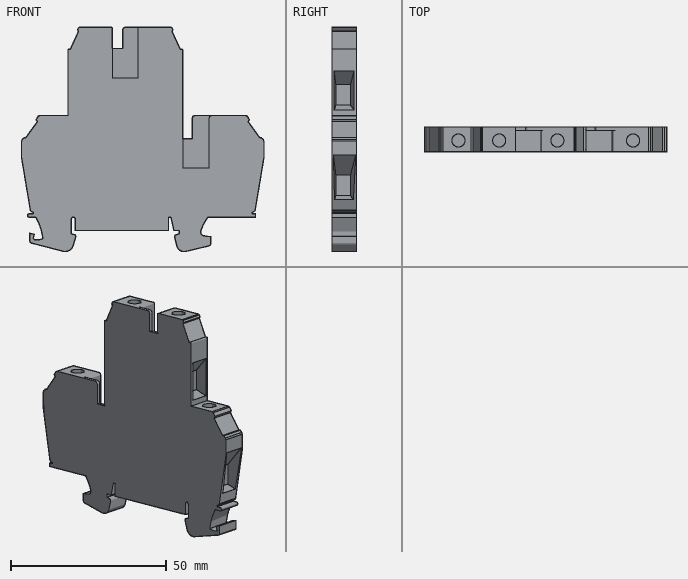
import cadquery as cq


LENGTH = 78.0
THICKNESS = 8.0
HEIGHT = 72.2

TIER_END = LENGTH / 2
TIER_TOP = 43.8
TIER_FLOOR = 11.1
LIP_TOP = 12.25
LEFT_LIP_END = -37.05
RIGHT_LIP_END = 36.3
LIP_GROOVE_X = 35.25
LIP_TIP_RADIUS = 0.55
END_TAPER_FOOT = 36.2

TOWER_CENTER = -5.6
TOWER_HALF = 18.5
TOWER_RIGHT = TOWER_CENTER + TOWER_HALF
TOWER_SHOULDER = 65.1
TOWER_SHOULDER_RADIUS = 0.3

PAD_BOTTOM = 6.8
PAD_RIGHT = 8.35
LEFT_FOOT_INNER = -22.9
LEFT_SLOT_WIDTH = 1.2
LEFT_SLOT_ROUND = 0.55
FOOT_OVERLAP = 0.8
FOOT_ROOT = TIER_FLOOR + FOOT_OVERLAP

BACK_WALL = 1.2
POCKET_DEPTH = THICKNESS - BACK_WALL
POCKET_MID = POCKET_DEPTH / 2
WALL_MID = THICKNESS - BACK_WALL / 2
TOWER_POCKET_LEFT = -9.75
TOWER_POCKET_RIGHT = -1.55
TOWER_POCKET_FLOOR = 55.9
TOWER_GAP_RIGHT = -6.5
TOWER_GAP_FLOOR = 65.4
TIER_POCKET_RIGHT = 21.4
TIER_POCKET_FLOOR = 27.0
TIER_GAP_RIGHT = 15.9
TIER_GAP_FLOOR = 36.35
LARGE_ROUND = 0.9
SMALL_ROUND = 0.5

SCREW_DIAMETER = 4.2
SCREW_DEPTH = 1.9
SCREW_Y = 3.7
TOWER_SCREW_OFFSET = 9.35
TIER_SCREW_X = 28.1

FUNNEL_DEPTH = 3.5
FUNNEL_FLOOR_Y = (1.3, 6.0)
FUNNEL_MOUTH_Y = (0.8, 7.2)
FUNNEL_FLOOR_HEIGHT = 6.6
FUNNEL_DROP = 1.5
FUNNEL_RISE = 4.45
TOWER_FUNNEL_Z = 47.1
TIER_FUNNEL_Z = 18.0
TIER_FUNNEL_FLOOR_X = 33.9
FUNNEL_REACH = 1.5


def plate(sketch):
    """Extrude a closed XZ outline through the full thickness."""
    return sketch.close().extrude(-THICKNESS)


def block(x0, x1, z0, z1, depth=THICKNESS):
    """Box from the front face to the given depth."""
    return cq.Workplane("XY").box(x1 - x0, depth, z1 - z0, centered=False).translate((x0, 0, z0))


def round_edge(body, x, y, z, radius):
    """Round the edge along Y whose midpoint is given."""
    return body.edges("|Y").edges(cq.selectors.NearestToPointSelector((x, y, z))).fillet(radius)


def symmetric_plate(half, center):
    """Plate whose right half is a bottom-to-top list of (offset, z) points."""
    right = [(center + x, z) for x, z in half]
    left = [(center - x, z) for x, z in reversed(half)]
    return plate(cq.Workplane("XZ").polyline(right + left))


def lower_tier():
    """Wide base with tapered ends, notched shoulders and a thin lip at each bottom corner."""
    tier = symmetric_plate([
        (LIP_GROOVE_X, TIER_FLOOR),
        (LIP_GROOVE_X, 12.6),
        (35.95, 13.0),
        (END_TAPER_FOOT, 13.4),
        (TIER_END, 30.2),
        (TIER_END, 35.6),
        (38.8, 36.1),
        (38.15, 36.7),
        (37.6, 36.7),
        (33.9, 41.8),
        (34.3, 42.5),
        (33.6, 43.6),
        (33.1, TIER_TOP),
    ], 0)
    left_lip = block(LEFT_LIP_END, 0, TIER_FLOOR, LIP_TOP).edges("|Y and <X").fillet(LIP_TIP_RADIUS)
    right_lip = block(0, RIGHT_LIP_END, TIER_FLOOR, LIP_TOP)
    return tier.union(left_lip).union(right_lip)


def tower():
    """Upper column with sloping, notched shoulders."""
    column = symmetric_plate([
        (TOWER_HALF, TIER_FLOOR),
        (TOWER_HALF, TOWER_SHOULDER),
        (17.7, TOWER_SHOULDER),
        (15.05, 70.9),
        (15.4, 71.4),
        (15.05, 72.0),
        (14.75, HEIGHT),
    ], TOWER_CENTER)
    for side in (-1, 1):
        shoulder_x = TOWER_CENTER + side * TOWER_HALF
        column = round_edge(column, shoulder_x, THICKNESS / 2, TOWER_SHOULDER, TOWER_SHOULDER_RADIUS)
    return column


def rail_pad():
    """Pad reaching the left foot, and the round-ended slot that separates them."""
    pad = block(LEFT_FOOT_INNER, PAD_RIGHT, PAD_BOTTOM, FOOT_ROOT)
    slot = block(LEFT_FOOT_INNER, LEFT_FOOT_INNER + LEFT_SLOT_WIDTH, PAD_BOTTOM, TIER_FLOOR)
    slot = slot.edges("|Y and >Z").fillet(LEFT_SLOT_ROUND)
    return pad, slot


def left_foot():
    """Springy foot with an upturned release hook."""
    return plate(
        cq.Workplane("XZ")
        .moveTo(LEFT_FOOT_INNER, FOOT_ROOT)
        .lineTo(-34.4, FOOT_ROOT)
        .lineTo(-34.4, TIER_FLOOR)
        .lineTo(-33.2, 8.65)
        .threePointArc((-32.6, 6.6), (-32.1, 4.2))
        .lineTo(-33.3, 3.9)
        .lineTo(-34.8, 3.9)
        .lineTo(-35.2, 4.4)
        .lineTo(-34.9, 5.6)
        .lineTo(-36.35, 6.0)
        .lineTo(-36.35, 3.6)
        .threePointArc((-36.2, 3.05), (-35.7, 2.7))
        .lineTo(-26.05, 0.2)
        .threePointArc((-23.6, 0.4), (-22.5, 1.6))
        .lineTo(-21.5, 4.7)
        .threePointArc((-21.6, 5.2), (-22.0, 5.5))
        .lineTo(LEFT_FOOT_INNER, 5.8)
    )


def right_foot():
    """Rigid foot with a blunt toe."""
    return plate(
        cq.Workplane("XZ")
        .moveTo(9.05, FOOT_ROOT)
        .lineTo(9.05, TIER_FLOOR)
        .lineTo(9.9, 7.2)
        .threePointArc((10.1, 6.9), (10.4, PAD_BOTTOM))
        .lineTo(11.7, PAD_BOTTOM)
        .lineTo(11.7, 5.8)
        .lineTo(10.6, 5.45)
        .threePointArc((10.3, 5.15), (10.2, 4.75))
        .lineTo(11.0, 1.6)
        .threePointArc((12.0, 0.4), (13.9, 0.1))
        .lineTo(21.05, 1.8)
        .threePointArc((21.7, 2.1), (21.9, 2.65))
        .lineTo(21.9, 4.9)
        .lineTo(20.6, 5.0)
        .lineTo(19.4, 5.2)
        .threePointArc((18.8, 5.8), (18.7, 6.7))
        .lineTo(19.5, 8.7)
        .lineTo(20.9, TIER_FLOOR)
        .lineTo(20.9, FOOT_ROOT)
    )


def cut_front_pocket(body, left, right, floor, gap_right, gap_floor):
    """Cut a pocket open to the front and top, and a higher gap through its back wall."""
    body = body.cut(block(left, right, floor, HEIGHT, POCKET_DEPTH))
    return body.cut(block(left, gap_right, gap_floor, HEIGHT))


def screw_hole(x, top):
    """Shallow blind hole going down from a top face."""
    return (
        cq.Workplane("XY", origin=(x, SCREW_Y, top))
        .circle(SCREW_DIAMETER / 2)
        .extrude(-SCREW_DEPTH)
    )


def wire_funnel(floor_x, floor_z, outward):
    """Tapered cavity that widens from its floor towards an end face (outward is -1 or +1)."""
    def section(reach):
        """Rectangle at a fraction of the funnel depth, 0 at the inner end and 1 at the mouth."""
        y0, y1 = (inner + (mouth - inner) * reach
                  for inner, mouth in zip(FUNNEL_FLOOR_Y, FUNNEL_MOUTH_Y))
        z0 = floor_z - FUNNEL_DROP * reach
        z1 = floor_z + FUNNEL_FLOOR_HEIGHT + FUNNEL_RISE * reach
        x = floor_x + outward * FUNNEL_DEPTH * reach
        corners = [(x, y0, z0), (x, y1, z0), (x, y1, z1), (x, y0, z1)]
        return cq.Wire.makePolygon([cq.Vector(*c) for c in corners], close=True)

    return cq.Workplane(cq.Solid.makeLoft([section(0), section(FUNNEL_REACH)], True))


pad, pad_slot = rail_pad()
result = lower_tier().union(tower()).union(pad).cut(pad_slot)
result = result.union(left_foot()).union(right_foot())

result = cut_front_pocket(result, TOWER_POCKET_LEFT, TOWER_POCKET_RIGHT, TOWER_POCKET_FLOOR,
                          TOWER_GAP_RIGHT, TOWER_GAP_FLOOR)
result = cut_front_pocket(result, TOWER_RIGHT, TIER_POCKET_RIGHT, TIER_POCKET_FLOOR,
                          TIER_GAP_RIGHT, TIER_GAP_FLOOR)
result = round_edge(result, TOWER_POCKET_LEFT, THICKNESS / 2, HEIGHT, SMALL_ROUND)
result = round_edge(result, TOWER_POCKET_RIGHT, POCKET_MID, HEIGHT, SMALL_ROUND)
result = round_edge(result, TOWER_GAP_RIGHT, WALL_MID, HEIGHT, LARGE_ROUND)
result = round_edge(result, TIER_POCKET_RIGHT, POCKET_MID, TIER_TOP, LARGE_ROUND)
result = round_edge(result, TIER_GAP_RIGHT, WALL_MID, TIER_TOP, LARGE_ROUND)

for side in (-1, 1):
    result = result.cut(screw_hole(TOWER_CENTER + side * TOWER_SCREW_OFFSET, HEIGHT))
    result = result.cut(screw_hole(side * TIER_SCREW_X, TIER_TOP))
    tower_floor_x = TOWER_CENTER + side * (TOWER_HALF - FUNNEL_DEPTH)
    result = result.cut(wire_funnel(tower_floor_x, TOWER_FUNNEL_Z, side))
    result = result.cut(wire_funnel(side * TIER_FUNNEL_FLOOR_X, TIER_FUNNEL_Z, side))